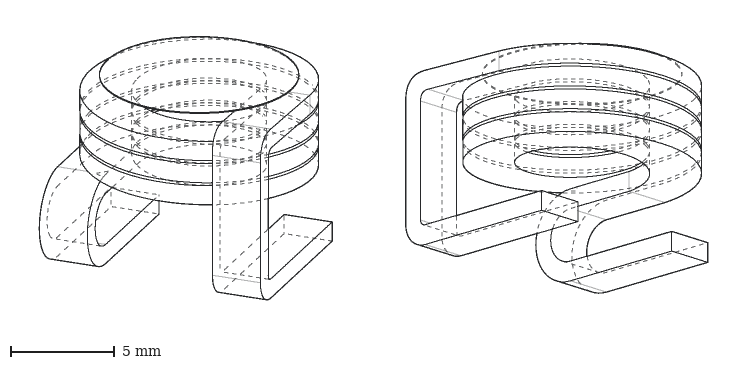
import cadquery as cq

strip_width = 2.5
strip_thickness = 1.0

coil_outer_radius = 5.75
coil_inner_radius = coil_outer_radius - strip_width
coil_mean_radius = coil_outer_radius - strip_width / 2
coil_pitch = 1.15
coil_turns = 3.5

front_y = -6.25
inner_y = front_y + strip_thickness
foot_tip_y = 2.85
hook_height = 4.65
leg_height = 8.8
foot_bend_outer_radius = 1.3
foot_bend_inner_radius = foot_bend_outer_radius - strip_thickness
leg_bend_outer_reach = 1.3
leg_bend_inner_reach = 0.5

hook_outer_radius = hook_height / 2
hook_center_y = front_y + hook_outer_radius

coil_start_z = hook_height - strip_thickness
coil_rise = coil_pitch * coil_turns
coil_end_z = coil_start_z + coil_rise

disc_diameter = 9.6
disc_thickness = 0.05


def make_coil():
    """Rectangular strip section swept along the helix, from -X round to +X."""
    helix = cq.Wire.makeHelix(coil_pitch, coil_rise, coil_mean_radius, lefthand=True)
    path = helix.rotate(cq.Vector(0, 0, 0), cq.Vector(0, 0, 1), 180)
    path = path.translate(cq.Vector(0, 0, coil_start_z))
    section = (
        cq.Workplane("XZ")
        .center(-coil_mean_radius, coil_start_z + strip_thickness / 2)
        .rect(strip_width, strip_thickness)
    )
    return section.sweep(cq.Workplane(path), isFrenet=True)


def make_hook():
    """Lower arm on the -X side: a U lying on its side, opening towards +Y."""
    return (
        cq.Workplane("YZ", origin=(-coil_outer_radius, 0, 0))
        .moveTo(0, hook_height)
        .lineTo(hook_center_y, hook_height)
        .threePointArc((front_y, hook_outer_radius), (hook_center_y, 0))
        .lineTo(foot_tip_y, 0)
        .lineTo(foot_tip_y, strip_thickness)
        .lineTo(hook_center_y, strip_thickness)
        .threePointArc(
            (inner_y, hook_outer_radius),
            (hook_center_y, coil_start_z),
        )
        .lineTo(0, coil_start_z)
        .close()
        .extrude(strip_width)
    )


def make_leg():
    """Upper arm on the +X side: it climbs gently off the coil, drops and turns back as a foot."""
    outer_bend_y = front_y + leg_bend_outer_reach
    inner_bend_y = inner_y + leg_bend_inner_reach
    climb = (leg_height - strip_thickness - coil_end_z) / -outer_bend_y

    def inner_z(y):
        return coil_end_z - climb * y

    def outer_z(y):
        return inner_z(y) + strip_thickness

    outer_bend = [
        (outer_bend_y, outer_z(outer_bend_y)),
        (front_y, outer_z(front_y)),
        (front_y, outer_z(front_y) - leg_bend_outer_reach),
    ]
    inner_bend = [
        (inner_y, inner_z(inner_y) - leg_bend_inner_reach),
        (inner_y, inner_z(inner_y)),
        (inner_bend_y, inner_z(inner_bend_y)),
    ]
    foot_bend_center_y = front_y + foot_bend_outer_radius
    return (
        cq.Workplane("YZ", origin=(coil_inner_radius, 0, 0))
        .moveTo(0, outer_z(0))
        .lineTo(*outer_bend[0])
        .bezier(outer_bend)
        .lineTo(front_y, foot_bend_outer_radius)
        .radiusArc((foot_bend_center_y, 0), -foot_bend_outer_radius)
        .lineTo(foot_tip_y, 0)
        .lineTo(foot_tip_y, strip_thickness)
        .lineTo(foot_bend_center_y, strip_thickness)
        .radiusArc((inner_y, foot_bend_outer_radius), foot_bend_inner_radius)
        .lineTo(*inner_bend[0])
        .bezier(inner_bend)
        .lineTo(0, inner_z(0))
        .close()
        .extrude(strip_width)
    )


def make_disc():
    """Thin round marking plate above the coil, level with the top of the leg."""
    return cq.Workplane("XY").workplane(offset=leg_height).circle(disc_diameter / 2).extrude(disc_thickness)


spring = make_coil().union(make_hook()).union(make_leg())
marking_disc = make_disc()

result = cq.Compound.makeCompound([spring.solids().val(), marking_disc.val()])